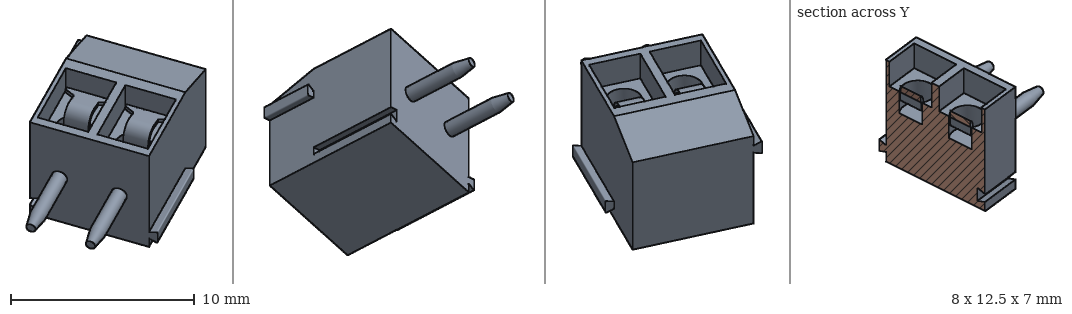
import cadquery as cq
import math

housing_width = 7
housing_depth = 8.3
housing_height = 7
slope_depth = 3
slope_drop = 1
slope_start = housing_depth - slope_depth

pole_pitch = 3.5
pole_centres = [-pole_pitch / 2, pole_pitch / 2]

pocket_width = 2.96
pocket_length = 4.1
pocket_depth = 1.7
front_wall = 0.5
pocket_floor = housing_height - pocket_depth
pocket_back = front_wall + pocket_length
hole_diameter = 2
hole_depth = 1.5
hole_y = 2

dovetail_reach = 0.5
slot_depth = 0.52
dovetail_root = 0.5
dovetail_tip = 0.85
rib_tip_fillet = 0.06
lower_dovetail_z = 0.9
upper_dovetail_z = 5.1

pin_diameter = 0.9
pin_tip_diameter = 0.55
pin_straight = 3.2
pin_taper = 1
pin_z = 3.4

leaf_thickness = 0.2
leaf_back_width = 2.7
leaf_tongue_width = 1.45
leaf_tilt = 10.5
bend_setback = 0.31
back_bend_radius = 0.4
web_run = 0.99
curl_start_height = 0.65
curl_radius = 0.76
leg_length = 0.5
shoulder_start = 0.06
shoulder_end = 0.41


def dovetail(root_x, reach, centre_z, y_start, y_end):
    """Dovetail bar along Y that widens from x = root_x to its tip; the sign of reach gives the side."""
    tip_x = root_x + reach
    return (
        cq.Workplane("XZ", origin=(0, y_start, 0))
        .moveTo(root_x, centre_z - dovetail_root / 2)
        .lineTo(tip_x, centre_z - dovetail_tip / 2)
        .lineTo(tip_x, centre_z + dovetail_tip / 2)
        .lineTo(root_x, centre_z + dovetail_root / 2)
        .close()
        .extrude(y_start - y_end)
    )


def make_housing():
    side = housing_width / 2
    body = (
        cq.Workplane("YZ", origin=(-side, 0, 0))
        .moveTo(0, 0)
        .lineTo(housing_depth, 0)
        .lineTo(housing_depth, housing_height - slope_drop)
        .lineTo(slope_start, housing_height)
        .lineTo(0, housing_height)
        .close()
        .extrude(housing_width)
    )

    upper_rib = dovetail(-side, -dovetail_reach, upper_dovetail_z, slope_start, housing_depth)
    lower_rib = dovetail(side, dovetail_reach, lower_dovetail_z, 0, slope_start)
    body = body.union(upper_rib.edges("|Y and <X").fillet(rib_tip_fillet))
    body = body.union(lower_rib.edges("|Y and >X").fillet(rib_tip_fillet))

    body = body.cut(dovetail(-side, slot_depth, lower_dovetail_z, 0, slope_start))

    for x in pole_centres:
        pocket = (
            cq.Workplane("XY", origin=(x, front_wall + pocket_length / 2, pocket_floor))
            .rect(pocket_width, pocket_length)
            .extrude(pocket_depth)
        )
        hole = (
            cq.Workplane("XY", origin=(x, hole_y, pocket_floor))
            .circle(hole_diameter / 2)
            .extrude(-hole_depth)
        )
        body = body.cut(pocket).cut(hole)
    return body


def make_pin(x):
    """Round pin with a tapered end, standing on the front face and pointing to -Y."""
    pin_length = pin_straight + pin_taper
    return (
        cq.Workplane("YZ", origin=(x, 0, pin_z))
        .moveTo(0, 0)
        .lineTo(0, pin_diameter / 2)
        .lineTo(-pin_straight, pin_diameter / 2)
        .lineTo(-pin_length, pin_tip_diameter / 2)
        .lineTo(-pin_length, 0)
        .close()
        .revolve(360, (0, 0, 0), (1, 0, 0))
    )


def on_circle(centre, radius, angle):
    """Point in the YZ plane at an angle in degrees, measured from +Y towards +Z."""
    turn = math.radians(angle)
    return (centre[0] + radius * math.cos(turn), centre[1] + radius * math.sin(turn))


bend_start_y = pocket_back - bend_setback
curl_start_y = bend_start_y - web_run
curl_start_z = pocket_floor + curl_start_height
bend_start_z = curl_start_z - web_run * math.tan(math.radians(leaf_tilt))


def make_leaf_strip(x):
    """Bent strip of the leaf at its full back width, from the pocket's back wall to the end of the leg."""
    web_angle = 90 - leaf_tilt
    leg_angle = 180
    bend_centre = on_circle((bend_start_y, bend_start_z), -back_bend_radius, web_angle)
    curl_centre = on_circle((curl_start_y, curl_start_z), -curl_radius, web_angle)
    wall_angle = math.degrees(math.acos((pocket_back - bend_centre[0]) / back_bend_radius))
    mid_bend_angle = (wall_angle + web_angle) / 2
    mid_curl_angle = (web_angle + leg_angle) / 2

    inner_bend = back_bend_radius - leaf_thickness
    inner_curl = curl_radius - leaf_thickness
    leg_front = curl_centre[0] - curl_radius
    leg_bottom = curl_centre[1] - leg_length

    return (
        cq.Workplane("YZ", origin=(x - leaf_back_width / 2, 0, 0))
        .moveTo(*on_circle(bend_centre, back_bend_radius, wall_angle))
        .threePointArc(
            on_circle(bend_centre, back_bend_radius, mid_bend_angle),
            on_circle(bend_centre, back_bend_radius, web_angle),
        )
        .lineTo(curl_start_y, curl_start_z)
        .threePointArc(
            on_circle(curl_centre, curl_radius, mid_curl_angle),
            on_circle(curl_centre, curl_radius, leg_angle),
        )
        .lineTo(leg_front, leg_bottom)
        .lineTo(leg_front + leaf_thickness, leg_bottom)
        .lineTo(*on_circle(curl_centre, inner_curl, leg_angle))
        .threePointArc(
            on_circle(curl_centre, inner_curl, mid_curl_angle),
            on_circle(curl_centre, inner_curl, web_angle),
        )
        .lineTo(*on_circle(bend_centre, inner_bend, web_angle))
        .threePointArc(
            on_circle(bend_centre, inner_bend, mid_bend_angle),
            on_circle(bend_centre, inner_bend, wall_angle),
        )
        .close()
        .extrude(leaf_back_width)
    )


def make_leaf(x):
    """Bent strip trimmed, square to its web, to a wide back and a narrow tongue."""
    back = leaf_back_width / 2
    tongue = leaf_tongue_width / 2
    tilt = math.radians(leaf_tilt)
    web_plane = cq.Plane(
        origin=(x, bend_start_y, bend_start_z),
        xDir=(1, 0, 0),
        normal=(0, math.sin(tilt), math.cos(tilt)),
    )
    blank = (
        cq.Workplane(web_plane)
        .moveTo(-back, pocket_length)
        .lineTo(-back, -shoulder_start)
        .lineTo(-tongue, -shoulder_end)
        .lineTo(-tongue, -pocket_length)
        .lineTo(tongue, -pocket_length)
        .lineTo(tongue, -shoulder_end)
        .lineTo(back, -shoulder_start)
        .lineTo(back, pocket_length)
        .close()
        .extrude(housing_height, both=True)
    )
    return make_leaf_strip(x).intersect(blank)


housing = make_housing()
pins = [make_pin(x) for x in pole_centres]
leaves = [make_leaf(x) for x in pole_centres]

result = cq.Compound.makeCompound(
    [housing.solids().val()]
    + [pin.solids().val() for pin in pins]
    + [leaf.solids().val() for leaf in leaves]
)